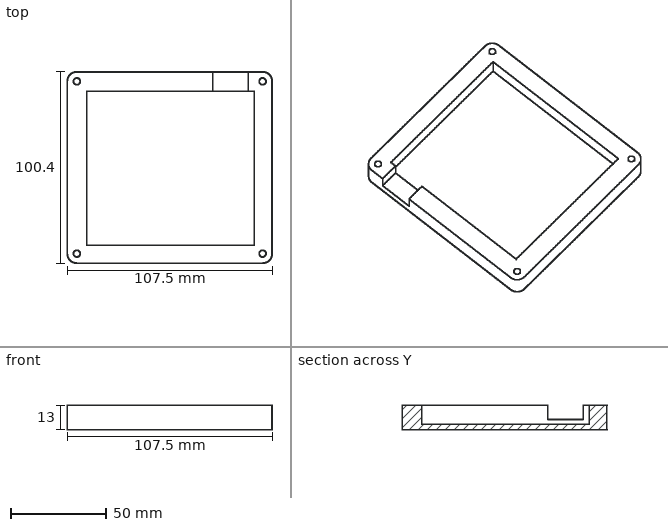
import cadquery as cq

length = 107.5
width = 100.4
height = 13.0
corner_radius = 5.0

pocket_length = 87.7
pocket_width = 80.7
pocket_left_wall = 10.3
pocket_front_wall = 9.5
floor_thickness = 3.0

notch_length = 18.5
notch_right_inset = 12.7
notch_depth = 7.5

hole_diameter = 3.4


def box_from_corner(size_x, size_y, size_z, corner):
    return cq.Workplane("XY").box(size_x, size_y, size_z, centered=False).translate(corner)


left = -length / 2
front = -width / 2
block = cq.Workplane("XY").box(length, width, height, centered=(True, True, False))
block = block.edges("|Z").fillet(corner_radius)

pocket = box_from_corner(
    pocket_length,
    pocket_width,
    height - floor_thickness,
    (left + pocket_left_wall, front + pocket_front_wall, floor_thickness),
)

pocket_back = front + pocket_front_wall + pocket_width
notch = box_from_corner(
    notch_length,
    width / 2 - pocket_back,
    notch_depth,
    (length / 2 - notch_right_inset - notch_length, pocket_back, height - notch_depth),
)

result = (
    block.cut(pocket)
    .cut(notch)
    .faces("<Z")
    .workplane(origin=(0, 0, 0))
    .rect(length - 2 * corner_radius, width - 2 * corner_radius, forConstruction=True)
    .vertices()
    .hole(hole_diameter)
)